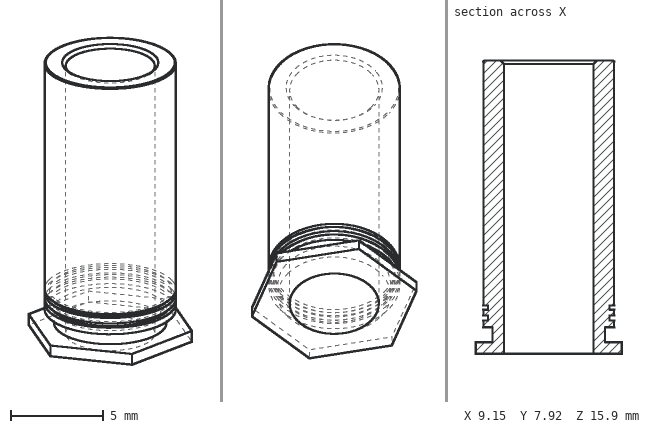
import cadquery as cq
import math

total_height = 15.88
hex_across_flats = 7.92
flange_thickness = 0.64

body_diameter = 7.11
groove_diameter = 6.6
neck_diameter = 6.1
bore_diameter = 4.83

neck_top = 1.43
lower_ring_top = 1.81
upper_ring_bottom = 2.06
upper_ring_top = 2.38
body_bottom = 2.6

outer_chamfer = 0.06
bore_chamfer = 0.19


def cylinder(diameter, bottom, top):
    """Solid cylinder on the Z axis between two heights."""
    return cq.Workplane("XY").workplane(offset=bottom).circle(diameter / 2).extrude(top - bottom)


def hex_flange():
    """Hexagonal flange with two corners on the X axis."""
    across_corners = hex_across_flats / math.cos(math.pi / 6)
    return cq.Workplane("XY").polygon(6, across_corners).extrude(flange_thickness)


def barrel():
    """Neck, two retaining rings and the main body, separated by grooves."""
    neck = cylinder(neck_diameter, 0, body_bottom)
    groove_core = cylinder(groove_diameter, neck_top, body_bottom)
    lower_ring = cylinder(body_diameter, neck_top, lower_ring_top)
    upper_ring = cylinder(body_diameter, upper_ring_bottom, upper_ring_top)
    body = cylinder(body_diameter, body_bottom, total_height).faces(">Z").chamfer(outer_chamfer)
    return neck.union(groove_core).union(lower_ring).union(upper_ring).union(body)


def bore():
    """Through bore with a conical lead-in at the top."""
    bore_radius = bore_diameter / 2
    profile = [
        (0, 0),
        (bore_radius, 0),
        (bore_radius, total_height - bore_chamfer),
        (bore_radius + bore_chamfer, total_height),
        (0, total_height),
    ]
    return cq.Workplane("XZ").polyline(profile).close().revolve(360, (0, 0, 0), (0, 1, 0))


result = hex_flange().union(barrel()).cut(bore())